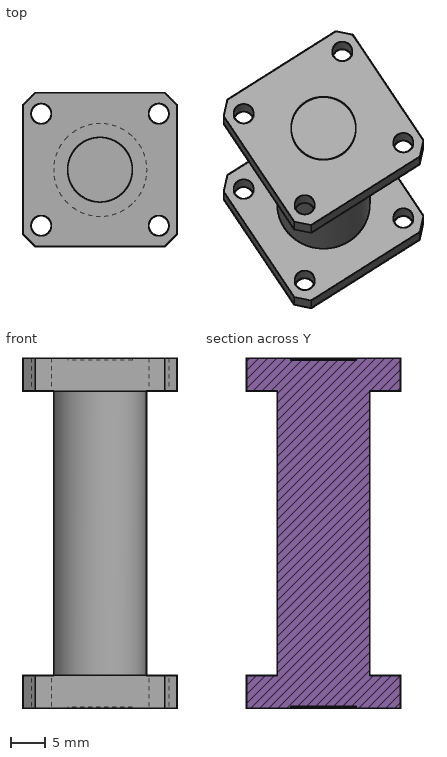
import cadquery as cq

length = 50.8
flange_side = 22.35
flange_thickness = 4.8
corner_chamfer = 1.8
column_diameter = 13.5
hole_diameter = 2.9
hole_spacing_x = 17.05
hole_spacing_y = 16.25
recess_diameter = 9.4
recess_depth = 0.25


def flange(bottom_z):
    """Square plate with chamfered corners and four through holes."""
    return (
        cq.Workplane("XY", origin=(0, 0, bottom_z))
        .rect(flange_side, flange_side)
        .extrude(flange_thickness)
        .edges("|Z")
        .chamfer(corner_chamfer)
        .faces(">Z")
        .workplane()
        .rect(hole_spacing_x, hole_spacing_y, forConstruction=True)
        .vertices()
        .hole(hole_diameter)
    )


def end_recess(bottom_z):
    """Shallow round pocket cutter for one end face."""
    return cq.Workplane("XY", origin=(0, 0, bottom_z)).circle(recess_diameter / 2).extrude(recess_depth)


column = cq.Workplane("XY").circle(column_diameter / 2).extrude(length)

result = column.union(flange(0)).union(flange(length - flange_thickness))

for recess_bottom in (0, length - recess_depth):
    result = result.cut(end_recess(recess_bottom))